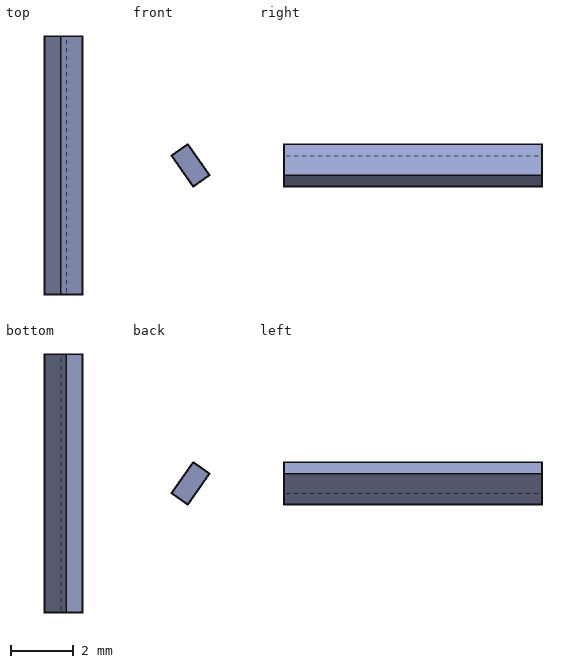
import cadquery as cq

length = 8.26
thickness = 0.64
width = 1.213
roll_angle = 35.0


def make_bar():
    """Square-ended bar centred on the origin, with its wide sides tilted."""
    bar = cq.Workplane("XY").box(thickness, length, width)
    return bar.rotate((0, 0, 0), (0, 1, 0), -roll_angle)


result = make_bar()